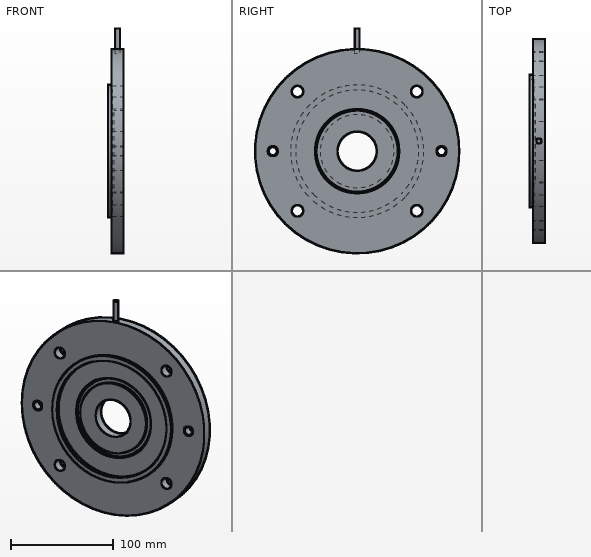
import cadquery as cq
import math


flange_diameter = 200.0
flange_thickness = 12.0
lip_outer_diameter = 130.0
lip_inner_diameter = 120.0
lip_height = 3.3
recess_depth = 4.5
housing_bore_diameter = 82.0

mounting_hole_diameter = 11.0
mounting_circle_diameter = 165.0
mounting_hole_count = 4

insert_outer_diameter = 10.0
insert_bore_diameter = 8.1
insert_circle_diameter = 165.0
insert_count = 2

hub_diameter = 79.8
hub_boss_diameter = 72.0
hub_bore_diameter = 38.0
hub_boss_height = 2.6

pin_diameter = 5.0
overall_height = 220.0
pin_seat_depth = 4.5

flange_radius = flange_diameter / 2
flange_front = -flange_thickness
lip_front = flange_front - lip_height
recess_floor = lip_front + recess_depth
hub_front = flange_front
hub_shoulder = hub_front + hub_boss_height
pin_top = overall_height - flange_radius
pin_bottom = flange_radius - pin_seat_depth


def disc(diameter, x_front, x_back, y=0, z=0):
    """A cylinder along X between two X positions."""
    plane = cq.Workplane("YZ", origin=(x_front, 0, 0))
    return plane.center(y, z).circle(diameter / 2).extrude(x_back - x_front)


def circle_points(circle_diameter, count, start_angle):
    """Evenly spaced (y, z) points on a circle about the disc axis."""
    radius = circle_diameter / 2
    angles = [start_angle + i * 2 * math.pi / count for i in range(count)]
    return [(radius * math.cos(angle), radius * math.sin(angle)) for angle in angles]


insert_points = circle_points(insert_circle_diameter, insert_count, 0)
mounting_points = circle_points(mounting_circle_diameter, mounting_hole_count, math.pi / 4)


def make_pin():
    plane = cq.Workplane("XY", origin=(flange_front / 2, 0, pin_bottom))
    return plane.circle(pin_diameter / 2).extrude(pin_top - pin_bottom)


def make_insert(y, z):
    sleeve = disc(insert_outer_diameter, flange_front, 0, y, z)
    return sleeve.cut(disc(insert_bore_diameter, flange_front, 0, y, z))


def make_hub():
    shoulder = disc(hub_diameter, hub_shoulder, 0)
    boss = disc(hub_boss_diameter, hub_front, hub_shoulder)
    bore = disc(hub_bore_diameter, hub_front, 0)
    return shoulder.union(boss).cut(bore)


def make_housing():
    body = disc(flange_diameter, flange_front, 0)
    body = body.union(disc(lip_outer_diameter, lip_front, flange_front))
    body = body.cut(disc(lip_inner_diameter, lip_front, recess_floor))
    body = body.cut(disc(housing_bore_diameter, lip_front, 0))
    for y, z in mounting_points:
        body = body.cut(disc(mounting_hole_diameter, flange_front, 0, y, z))
    for y, z in insert_points:
        body = body.cut(disc(insert_outer_diameter, flange_front, 0, y, z))
    return body.cut(pin)


pin = make_pin()
inserts = [make_insert(y, z) for y, z in insert_points]
hub = make_hub()
housing = make_housing()

result = cq.Compound.makeCompound(
    [housing.val(), hub.val(), pin.val(), *[insert.val() for insert in inserts]]
)